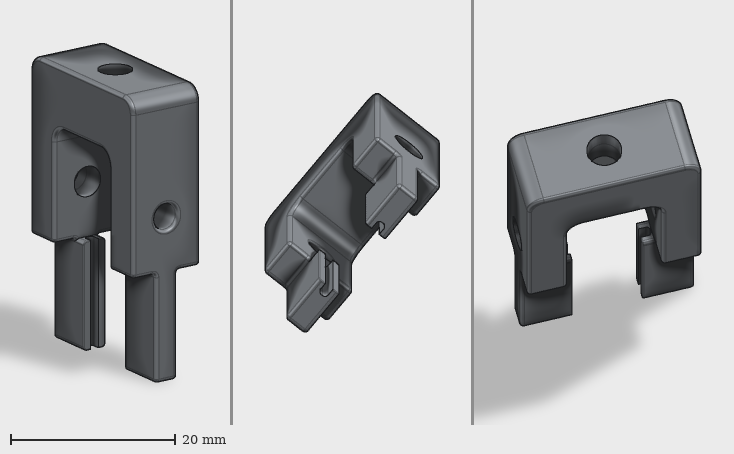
import cadquery as cq
import math

width = 21.9
depth = 10.0
height = 37.0

prong_height = 14.0
bridge_top_thickness = 8.0
leg_width = 5.0
opening_width = width - 2 * leg_width
corner_radius = 2.07
edge_radius = 0.48

prong_thickness = 3.2
prong_width = 6.5
prong_inner_x = width / 2 - prong_width
tip_lap = 1.5 * edge_radius
tip_edge_radius = 0.1
groove_width = 1.2
groove_depth = 1.4

side_hole_z = height - 16.0
insert_mouth_diameter = 4.25
insert_diameter = 3.9
insert_taper_length = 2.0
insert_depth = leg_width
clearance_diameter = 3.3

select_margin = 0.05


def box_between(x_range, y_range, z_range):
    """Axis-aligned block between the given (low, high) limits."""
    lows, highs = zip(x_range, y_range, z_range)
    sizes = [high - low for low, high in zip(lows, highs)]
    return cq.Workplane("XY").box(*sizes, centered=False).translate(lows)


def make_bridge_and_stems():
    """U-shaped bridge with a thin stem under each leg, all edges rounded."""
    half_width = width / 2
    half_depth = depth / 2
    half_thickness = prong_thickness / 2
    half_opening = opening_width / 2
    opening_top = height - bridge_top_thickness

    body = box_between((-half_width, half_width), (-half_depth, half_depth), (prong_height, height))
    body = body.edges("|Y and >Z").fillet(corner_radius)
    stems = box_between((-half_width, half_width), (-half_thickness, half_thickness), (0, prong_height))
    opening = box_between((-half_opening, half_opening), (-half_depth, half_depth), (0, opening_top))
    opening = opening.edges("|Y and >Z").fillet(corner_radius)
    body = body.union(stems).cut(opening)

    stem_roots = cq.selectors.BoxSelector(
        (-width, -half_thickness - select_margin, prong_height - select_margin),
        (width, half_thickness + select_margin, prong_height + select_margin),
    )
    body = body.edges("|X").edges(stem_roots).fillet(edge_radius)

    opening_region = cq.selectors.BoxSelector(
        (-half_opening - select_margin, -half_depth, 0),
        (half_opening + select_margin, half_depth, opening_top),
    )
    outer_faces = body.faces("<X or >X or <Y or >Y or <Z")
    opening_walls = body.faces("|X").faces(opening_region)
    rims = outer_faces.edges().vals() + opening_walls.edges().vals()
    return body.newObject(rims).fillet(edge_radius)


def make_prong_tip():
    """Inward reach of the left prong, grooved down the middle of its inner face."""
    start_x = -opening_width / 2 - tip_lap
    tip = box_between(
        (start_x, -prong_inner_x),
        (-prong_thickness / 2, prong_thickness / 2),
        (0, prong_height),
    )
    tip = tip.edges("|X").fillet(edge_radius)
    tip = tip.faces(">X").edges().fillet(tip_edge_radius)
    groove = box_between(
        (-prong_inner_x - groove_depth, -prong_inner_x),
        (-groove_width / 2, groove_width / 2),
        (0, prong_height),
    )
    groove = groove.edges("|Z and <X").fillet(edge_radius)
    return tip.cut(groove)


def make_insert_hole():
    """Blind hole along -Z from the origin, tapering from its mouth to the insert diameter."""
    mouth_radius = insert_mouth_diameter / 2
    insert_radius = insert_diameter / 2
    return (
        cq.Workplane("XZ")
        .polyline([
            (0, 0),
            (mouth_radius, 0),
            (insert_radius, -insert_taper_length),
            (insert_radius, -insert_depth),
            (0, -insert_depth),
        ])
        .close()
        .revolve(360, (0, 0), (0, 1))
    )


def make_clearance_hole():
    """Through hole along X in the right leg, with both mouths rounded outwards."""
    radius = clearance_diameter / 2
    mouth_radius = radius + edge_radius
    inner_x = opening_width / 2
    outer_x = width / 2
    arc_offset = edge_radius * (1 - math.sqrt(0.5))
    return (
        cq.Workplane("XY")
        .moveTo(inner_x, 0)
        .lineTo(inner_x, mouth_radius)
        .threePointArc((inner_x + arc_offset, radius + arc_offset), (inner_x + edge_radius, radius))
        .lineTo(outer_x - edge_radius, radius)
        .threePointArc((outer_x - arc_offset, radius + arc_offset), (outer_x, mouth_radius))
        .lineTo(outer_x, 0)
        .close()
        .revolve(360, (0, 0), (1, 0))
        .translate((0, 0, side_hole_z))
    )


result = make_bridge_and_stems()

left_tip = make_prong_tip()
result = result.union(left_tip).union(left_tip.mirror("YZ"))

insert_hole = make_insert_hole()
top_insert_hole = insert_hole.translate((0, 0, height))
side_insert_hole = insert_hole.rotate((0, 0, 0), (0, 1, 0), -90).translate((-width / 2, 0, side_hole_z))
result = result.cut(top_insert_hole).cut(side_insert_hole).cut(make_clearance_hole()).solids()